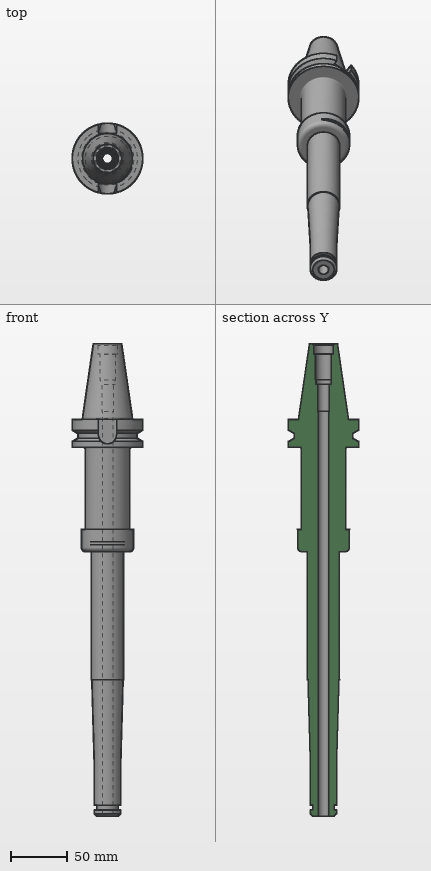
import cadquery as cq
import math


gauge_diameter = 44.45
taper_length = 65.4
taper_ratio = 7 / 24
taper_small_diameter = gauge_diameter - taper_length * taper_ratio

flange_diameter = 63.0
flange_top_z = -2.0
flange_bottom_z = -27.0
groove_center_z = -16.7
groove_floor_diameter = 53.0
groove_mouth_width = 10.0
root_fillet = 1.0
groove_flank_angle = 30.0

slot_width = 16.1
slot_floor_distance = 22.5
slot_bottom_z = -23.8
slot_floor_fillet = 1.0
cut_clearance = 1.0

body_diameter = 40.0
collar_diameter = 46.6
collar_top_z = -100.0
collar_bottom_z = -120.0
collar_fillet = 4.0

mark_top_z = -111.0
mark_bottom_z = -113.5
mark_half_width = 15.0
mark_depth = 1.0

shaft_diameter = 29.0
shaft_bottom_z = -234.0
cone_top_diameter = 28.0
cone_bottom_z = -305.0
tip_diameter = 24.0
tip_bottom_z = -345.5
tip_groove_diameter = 19.5
tip_groove_bottom_z = -349.5
end_disc_diameter = 24.0
end_chamfer = 2.5
end_disc_top_chamfer = 0.8
overall_length = 420.9
end_z = taper_length - overall_length

bore_mouth_diameter = 19.5
bore_guide_diameter = 17.0
bore_guide_depth = 9.0
thread_lead_diameter = 15.0
thread_diameter = 13.84
thread_depth = 32.0
drill_diameter = 13.0
drill_depth = 36.0
lower_diameter = 10.0
lower_depth = 60.0
through_diameter = 9.0


def turned_body():
    floor_radius = groove_floor_diameter / 2
    flange_radius = flange_diameter / 2
    mouth_half = groove_mouth_width / 2
    floor_half = mouth_half - (flange_radius - floor_radius) * math.tan(math.radians(groove_flank_angle))
    collar_radius = collar_diameter / 2
    root_offset = root_fillet * (1 - math.sqrt(0.5))
    collar_offset = collar_fillet * (1 - math.sqrt(0.5))
    end_radius = end_disc_diameter / 2

    return (
        cq.Workplane("XZ")
        .moveTo(0, taper_length)
        .lineTo(taper_small_diameter / 2, taper_length)
        .lineTo(gauge_diameter / 2, 0)
        .lineTo(gauge_diameter / 2, flange_top_z + root_fillet)
        .threePointArc(
            (gauge_diameter / 2 + root_offset, flange_top_z + root_offset),
            (gauge_diameter / 2 + root_fillet, flange_top_z),
        )
        .lineTo(flange_radius, flange_top_z)
        .lineTo(flange_radius, groove_center_z + mouth_half)
        .lineTo(floor_radius, groove_center_z + floor_half)
        .lineTo(floor_radius, groove_center_z - floor_half)
        .lineTo(flange_radius, groove_center_z - mouth_half)
        .lineTo(flange_radius, flange_bottom_z)
        .lineTo(body_diameter / 2 + root_fillet, flange_bottom_z)
        .threePointArc(
            (body_diameter / 2 + root_offset, flange_bottom_z - root_offset),
            (body_diameter / 2, flange_bottom_z - root_fillet),
        )
        .lineTo(body_diameter / 2, collar_top_z)
        .lineTo(collar_radius, collar_top_z)
        .lineTo(collar_radius, collar_bottom_z + collar_fillet)
        .threePointArc(
            (collar_radius - collar_offset, collar_bottom_z + collar_offset),
            (collar_radius - collar_fillet, collar_bottom_z),
        )
        .lineTo(shaft_diameter / 2, collar_bottom_z)
        .lineTo(shaft_diameter / 2, shaft_bottom_z)
        .lineTo(cone_top_diameter / 2, shaft_bottom_z)
        .lineTo(tip_diameter / 2, cone_bottom_z)
        .lineTo(tip_diameter / 2, tip_bottom_z)
        .lineTo(tip_groove_diameter / 2, tip_bottom_z)
        .lineTo(tip_groove_diameter / 2, tip_groove_bottom_z)
        .lineTo(end_radius - end_disc_top_chamfer, tip_groove_bottom_z)
        .lineTo(end_radius, tip_groove_bottom_z - end_disc_top_chamfer)
        .lineTo(end_radius, end_z + end_chamfer)
        .lineTo(end_radius - end_chamfer, end_z)
        .lineTo(0, end_z)
        .close()
        .revolve(360, (0, 0, 0), (0, 1, 0))
    )


def countersink(mouth_diameter, hole_diameter, depth):
    """Cutter for a 45-degree lead-in from the wider to the narrower diameter."""
    mouth_radius = mouth_diameter / 2
    hole_radius = hole_diameter / 2
    return cq.Workplane(
        cq.Solid.makeCone(
            mouth_radius,
            hole_radius,
            mouth_radius - hole_radius,
            cq.Vector(0, 0, taper_length - depth),
            cq.Vector(0, 0, -1),
        )
    )


def bore():
    steps = [
        (bore_guide_diameter, bore_guide_depth),
        (thread_diameter, thread_depth),
        (drill_diameter, drill_depth),
        (lower_diameter, lower_depth),
        (through_diameter, overall_length),
    ]
    cutter = countersink(bore_mouth_diameter, bore_guide_diameter, 0)
    cutter = cutter.union(countersink(thread_lead_diameter, thread_diameter, bore_guide_depth))
    for diameter, depth in steps:
        step = cq.Workplane("XY", origin=(0, 0, taper_length)).circle(diameter / 2).extrude(-depth)
        cutter = cutter.union(step)
    return cutter


def driving_slot():
    """Cutter for the slot on the -Y side: round lower end, filleted floor edge."""
    radius = slot_width / 2
    top_z = 0
    return (
        cq.Workplane("XZ", origin=(0, -slot_floor_distance, 0))
        .moveTo(-radius, top_z)
        .lineTo(-radius, slot_bottom_z + radius)
        .threePointArc((0, slot_bottom_z), (radius, slot_bottom_z + radius))
        .lineTo(radius, top_z)
        .close()
        .extrude(flange_diameter / 2 - slot_floor_distance + cut_clearance)
        .faces(">Y")
        .edges("not >Z")
        .fillet(slot_floor_fillet)
    )


def marking_groove():
    """Cutter for a crescent groove that fades out to nothing at its two ends."""
    collar_radius = collar_diameter / 2
    end_y = -math.sqrt(collar_radius**2 - mark_half_width**2)
    return (
        cq.Workplane("XY", origin=(0, 0, mark_bottom_z))
        .moveTo(-mark_half_width, end_y)
        .threePointArc((0, mark_depth - collar_radius), (mark_half_width, end_y))
        .lineTo(mark_half_width, -collar_radius)
        .lineTo(-mark_half_width, -collar_radius)
        .close()
        .extrude(mark_top_z - mark_bottom_z)
    )


result = turned_body().cut(bore())
for angle in (0, 180):
    result = result.cut(driving_slot().rotate((0, 0, 0), (0, 0, 1), angle))
result = result.cut(marking_groove())